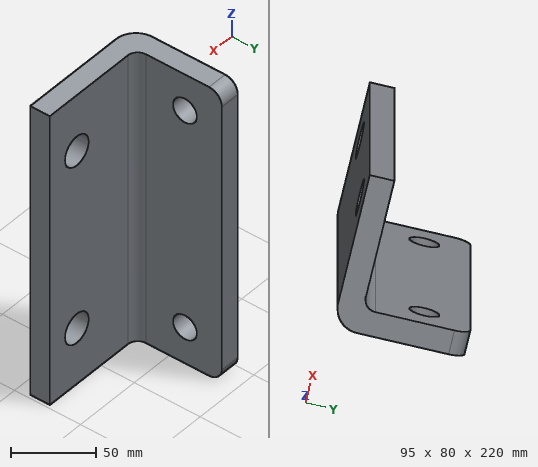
import cadquery as cq

width = 95.0
depth = 80.0
height = 220.0
thickness = 15.0

outer_bend_radius = 15.0
inner_bend_radius = 7.5
corner_radius = 10.0

front_hole_diameter = 22.0
front_hole_edge_distance = 25.0
front_hole_spacing = 135.0
side_hole_diameter = 18.0
side_hole_edge_distance = 28.0
side_hole_spacing = 165.0


def angle_body():
    """L-shaped angle with its outer corner at the origin."""
    profile = [
        (0, 0),
        (width, 0),
        (width, thickness),
        (thickness, thickness),
        (thickness, depth),
        (0, depth),
    ]
    body = cq.Workplane("XY").polyline(profile).close().extrude(height)
    body = body.edges(cq.selectors.NearestToPointSelector((0, 0, height / 2))).fillet(outer_bend_radius)
    inner_corner = (thickness, thickness, height / 2)
    body = body.edges(cq.selectors.NearestToPointSelector(inner_corner)).fillet(inner_bend_radius)
    return body.faces(">Y").edges("|X").fillet(corner_radius)


def hole_pair(plane, position, spacing, diameter, length):
    """Two cylinders, one above the other, starting on the given plane."""
    middle = height / 2
    centers = [(position, middle - spacing / 2), (position, middle + spacing / 2)]
    return cq.Workplane(plane).pushPoints(centers).circle(diameter / 2).extrude(length)


front_holes = hole_pair(
    "XZ", width - front_hole_edge_distance, front_hole_spacing, front_hole_diameter, -thickness
)
side_holes = hole_pair(
    "YZ", depth - side_hole_edge_distance, side_hole_spacing, side_hole_diameter, thickness
)

result = angle_body().cut(front_holes).cut(side_holes)